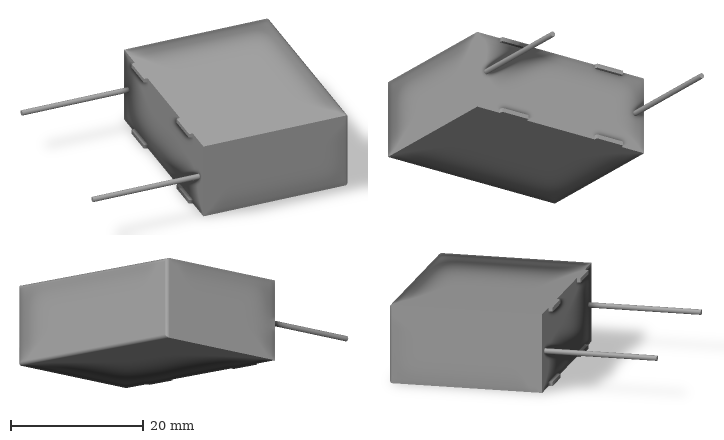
import cadquery as cq
import math

case_width = 30.8
case_height = 12.3
overall_length = 41.3
lead_length = 17.5
case_depth = overall_length - lead_length
back_edge_radius = 0.5

tab_base_length = 5.05
tab_thickness = 0.65
tab_reach = 0.58
tab_draft_angle = 12.0
tab_pitch = 17.5

lead_pitch = 27.5
lead_diameter = 0.83


def mirrored_pair(pitch):
    """Two positions, one pitch apart and symmetric about zero."""
    return (-pitch / 2, pitch / 2)


def make_tab(center_x, center_z):
    """Stand-off tab rising from the lead face, with both ends drafted."""
    base_half = tab_base_length / 2
    tip_half = base_half - tab_reach * math.tan(math.radians(tab_draft_angle))
    outline = [
        (-base_half, 0),
        (base_half, 0),
        (tip_half, -tab_reach),
        (-tip_half, -tab_reach),
    ]
    return (
        cq.Workplane("XY", origin=(center_x, 0, center_z))
        .polyline(outline)
        .close()
        .extrude(tab_thickness / 2, both=True)
    )


def make_case():
    """Box with a rounded back rim and four tabs flush with its top and bottom."""
    case = cq.Workplane("XY").box(case_width, case_depth, case_height, centered=(True, False, True))
    case = case.faces(">Y").edges().fillet(back_edge_radius)
    for center_x in mirrored_pair(tab_pitch):
        for center_z in mirrored_pair(case_height - tab_thickness):
            case = case.union(make_tab(center_x, center_z))
    return case.solids()


def make_lead(center_x):
    """Straight round lead standing on the lead face."""
    return (
        cq.Workplane("XZ", origin=(center_x, 0, 0))
        .circle(lead_diameter / 2)
        .extrude(lead_length)
    )


case = make_case()
leads = [make_lead(center_x) for center_x in mirrored_pair(lead_pitch)]

result = cq.Compound.makeCompound([case.val(), *[lead.val() for lead in leads]])